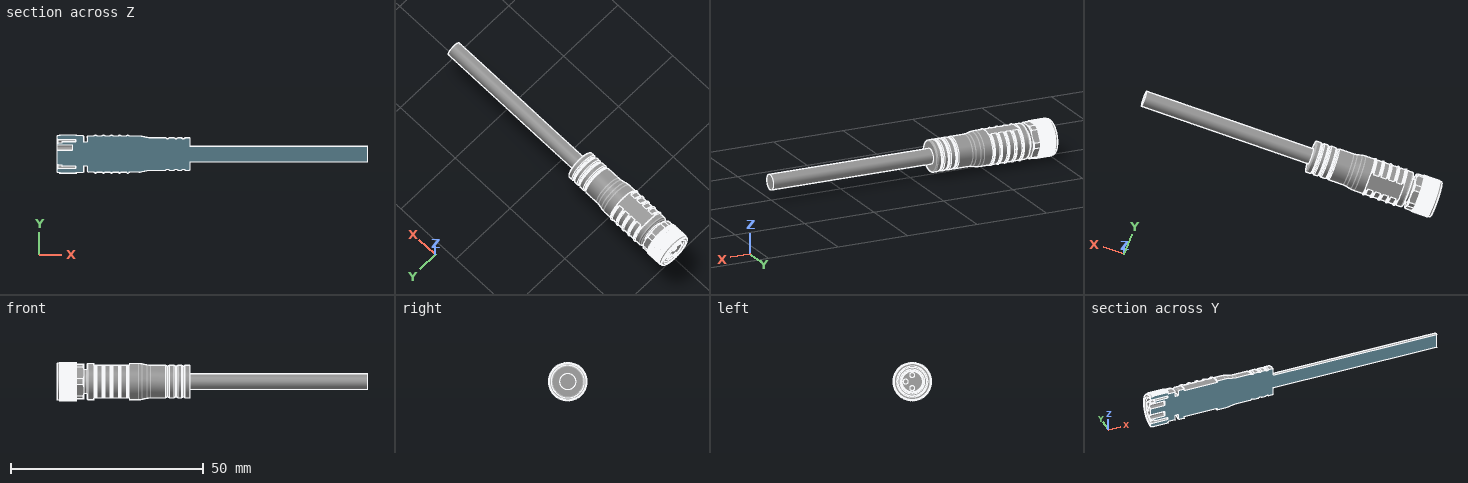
import cadquery as cq
import math

TOTAL_LENGTH = 80.6

NUT_LENGTH = 7.0
NUT_RADIUS = 4.8
NUT_FRONT_CHAMFER = 0.2
NUT_BACK_CHAMFER = 0.25
KNURL_START = 0.7
KNURL_END = 5.1
KNURL_RADIUS = 5.0
KNURL_DEPTH = 0.2
KNURL_COUNT = 80
HEX_APOTHEM = 4.5
BORE_RADIUS = 3.7
BORE_MOUTH_RADIUS = 4.0
BORE_DEPTH = 4.8

INSERT_RADIUS = 3.2
INSERT_FACE_RADIUS = 2.7
INSERT_TIP_RADIUS = 2.9
INSERT_TIP_LENGTH = 1.3
CONTACT_RADIUS = 0.65
CONTACT_CIRCLE_RADIUS = 1.7
CONTACT_DEPTH = 4.0
CONTACT_ANGLES = (0, 90, 180)

NECK_RADIUS = 3.15
BODY_START = 7.8
BODY_RADIUS = 4.75
BODY_EDGE = 0.4
TAPER_START = 21.1
CONE_START = 22.1
CONE_END = 23.4
TAPER_END = 24.3
TAIL_RADIUS = 4.3
TAIL_END = 34.6
TAIL_EDGE = 0.25
CABLE_RADIUS = 2.1

RIB_COUNT = 5
FIRST_RIB = 10.0
RIB_PITCH = 2.1
RIB_WIDTH = 0.7
RIB_CREST_WIDTH = 0.25
RIB_RADIUS = 5.0
PANEL_START = 9.6
PANEL_END = 18.8
PANEL_HEIGHT = 4.3

GROOVE_CENTRES = (28.7, 30.9, 32.8)
GROOVE_WIDTH = 1.0
GROOVE_FLOOR_WIDTH = 0.3
GROOVE_DEPTH = 0.25


def cylinder(start, end, radius):
    """Cylinder along X between two stations."""
    return cq.Workplane("YZ", origin=(start, 0, 0)).circle(radius).extrude(end - start)


def turned(profile):
    """Revolve a closed (X, radius) profile about the X axis."""
    return profile.close().revolve(360, (0, 0, 0), (1, 0, 0))


def coupling_nut():
    """Nut with a knurled front and rounded hexagon flats behind it."""
    smooth = cylinder(0, NUT_LENGTH, NUT_RADIUS)
    smooth = smooth.faces("<X").chamfer(NUT_FRONT_CHAMFER)
    smooth = smooth.faces(">X").chamfer(NUT_BACK_CHAMFER)
    hexagon = (
        cq.Workplane("YZ", origin=(KNURL_END, 0, 0))
        .polygon(6, 2 * HEX_APOTHEM / math.cos(math.pi / 6))
        .extrude(NUT_LENGTH - KNURL_END)
    )
    front = smooth.intersect(cylinder(0, KNURL_END, NUT_RADIUS))
    return front.union(smooth.intersect(hexagon)).union(knurled_band())


def knurled_band():
    """Ring of straight V-shaped teeth running along X."""
    half_pitch = math.pi / KNURL_COUNT
    points = []
    for i in range(2 * KNURL_COUNT):
        radius = KNURL_RADIUS - KNURL_DEPTH * (i % 2)
        angle = i * half_pitch
        points.append((radius * math.cos(angle), radius * math.sin(angle)))
    band = cq.Workplane("YZ", origin=(KNURL_START, 0, 0)).polyline(points).close()
    return band.extrude(KNURL_END - KNURL_START)


def nut_bore():
    mouth_depth = BORE_MOUTH_RADIUS - BORE_RADIUS
    return turned(
        cq.Workplane("XY")
        .moveTo(0, 0)
        .lineTo(0, BORE_MOUTH_RADIUS)
        .lineTo(mouth_depth, BORE_RADIUS)
        .lineTo(BORE_DEPTH, BORE_RADIUS)
        .lineTo(BORE_DEPTH, 0)
    )


def socket_insert():
    tip_chamfer = INSERT_TIP_RADIUS - INSERT_FACE_RADIUS
    insert = turned(
        cq.Workplane("XY")
        .moveTo(0, 0)
        .lineTo(0, INSERT_FACE_RADIUS)
        .lineTo(tip_chamfer, INSERT_TIP_RADIUS)
        .lineTo(INSERT_TIP_LENGTH, INSERT_TIP_RADIUS)
        .lineTo(INSERT_TIP_LENGTH, INSERT_RADIUS)
        .lineTo(BORE_DEPTH, INSERT_RADIUS)
        .lineTo(BORE_DEPTH, 0)
    )
    for degrees in CONTACT_ANGLES:
        angle = math.radians(degrees)
        y = CONTACT_CIRCLE_RADIUS * math.sin(angle)
        z = CONTACT_CIRCLE_RADIUS * math.cos(angle)
        insert = insert.cut(cylinder(0, CONTACT_DEPTH, CONTACT_RADIUS).translate((0, y, z)))
    return insert


def moulded_body():
    front_arc = CONE_START - TAPER_START
    rear_arc = TAPER_END - CONE_END
    slope = (BODY_RADIUS - TAIL_RADIUS) / (CONE_END - CONE_START + (front_arc + rear_arc) / 2)
    cone_start_radius = BODY_RADIUS - slope * front_arc / 2
    cone_end_radius = TAIL_RADIUS + slope * rear_arc / 2
    body = turned(
        cq.Workplane("XY")
        .moveTo(BODY_START, 0)
        .lineTo(BODY_START, BODY_RADIUS - BODY_EDGE)
        .tangentArcPoint((BODY_START + BODY_EDGE, BODY_RADIUS), relative=False)
        .lineTo(TAPER_START, BODY_RADIUS)
        .tangentArcPoint((CONE_START, cone_start_radius), relative=False)
        .lineTo(CONE_END, cone_end_radius)
        .tangentArcPoint((TAPER_END, TAIL_RADIUS), relative=False)
        .lineTo(TAIL_END - TAIL_EDGE, TAIL_RADIUS)
        .tangentArcPoint((TAIL_END, TAIL_RADIUS - TAIL_EDGE), relative=False)
        .lineTo(TAIL_END, 0)
    )
    for i in range(RIB_COUNT):
        centre = FIRST_RIB + i * RIB_PITCH
        rib = trapezoid_ring(centre, BODY_RADIUS, RIB_WIDTH, RIB_RADIUS, RIB_CREST_WIDTH)
        body = body.union(rib)
    groove_floor = TAIL_RADIUS - GROOVE_DEPTH
    for centre in GROOVE_CENTRES:
        groove = trapezoid_ring(centre, groove_floor, GROOVE_FLOOR_WIDTH, TAIL_RADIUS, GROOVE_WIDTH)
        body = body.cut(groove)
    for side in (1, -1):
        body = body.cut(label_panel(side))
    return body


def trapezoid_ring(centre, inner_radius, inner_width, outer_radius, outer_width):
    """Ring about X with a trapezoidal section."""
    half_inner = inner_width / 2
    half_outer = outer_width / 2
    return turned(
        cq.Workplane("XY")
        .moveTo(centre - half_inner, inner_radius)
        .lineTo(centre - half_outer, outer_radius)
        .lineTo(centre + half_outer, outer_radius)
        .lineTo(centre + half_inner, inner_radius)
    )


def label_panel(side):
    length = PANEL_END - PANEL_START
    block = cq.Workplane("XY").box(length, 2 * RIB_RADIUS, 2 * (RIB_RADIUS - PANEL_HEIGHT))
    return block.translate(((PANEL_START + PANEL_END) / 2, 0, side * RIB_RADIUS))


nut = coupling_nut().cut(nut_bore()).union(socket_insert())
neck = cylinder(NUT_LENGTH, BODY_START, NECK_RADIUS)
cable = cylinder(TAIL_END, TOTAL_LENGTH, CABLE_RADIUS)
result = nut.union(neck).union(moulded_body()).union(cable)